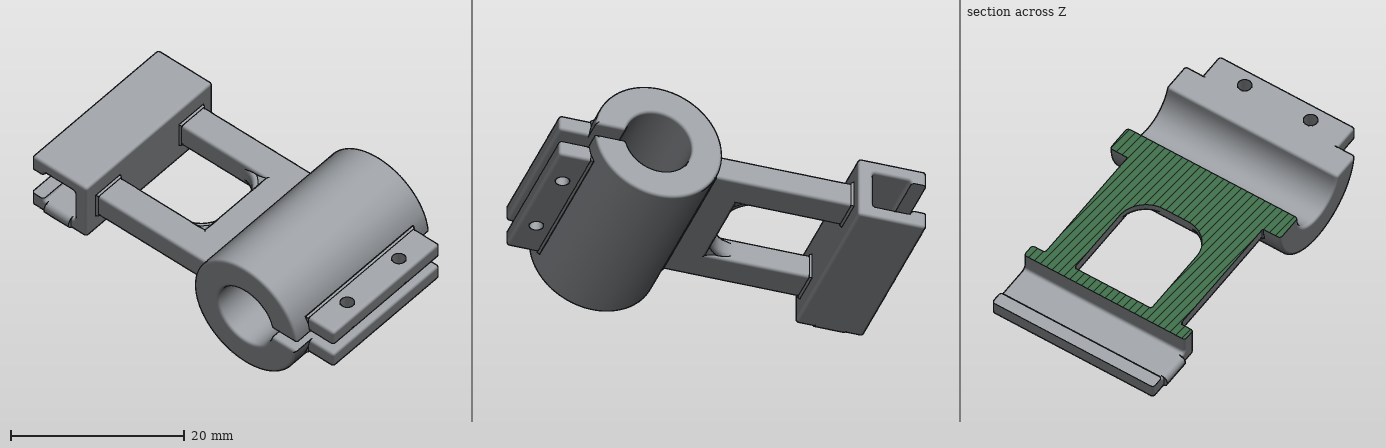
import cadquery as cq
import math

total_length = 44.25
edge_round = 0.4

tube_radius = 7.75
tube_length = 23.85
bore_radius = 4.07
slot_height = 1.5

flange_end_x = 11.35
flange_thickness = 2.1
flange_root_x = 5.75
bolt_hole_diameter = 1.7
bolt_hole_spacing = 9.2
bolt_hole_edge_distance = 2.05

clip_start_x = flange_end_x - total_length
clip_depth = 8.3
clip_height = 8.05
clip_length = 22.55
clip_end_x = clip_start_x + clip_depth
mouth_height = 4.0
lip_depth = 1.75
channel_height = 4.75
channel_back_wall = 1.75

tongue_offset = 2.2
tongue_width = 3.7
tongue_overhang = 0.45

arm_width = 18.95
arm_thickness = 3.2
window_width = 10.7
window_length = 12.95
window_corner_radius = 3.67
corner_wall_height = 1.35
corner_flare = 0.7

flare_length = 0.3
flare_growth = 0.15
flare_burial = 0.45

margin = 0.05


def box(x_min, x_max, width, z_min, z_max):
    """Box centred on Y between the given X and Z limits."""
    block = cq.Workplane("XY").box(x_max - x_min, width, z_max - z_min, centered=(False, True, False))
    return block.translate((x_min, 0, z_min))


def root_flare(root_x, direction, y_center, width, z_center, thickness, buried=0.0):
    """Tapered collar around a plate, wide at root_x and shrinking along X."""
    taper = math.degrees(math.atan2(flare_growth, flare_length))
    plane = cq.Plane(origin=(root_x, y_center, z_center), xDir=(0, 1, 0), normal=(direction, 0, 0))
    grown_width = width + 2 * flare_growth
    grown_thickness = thickness + 2 * flare_growth
    collar = cq.Workplane(plane).rect(grown_width, grown_thickness).extrude(flare_length, taper=taper)
    if buried:
        collar = collar.union(cq.Workplane(plane).rect(grown_width, grown_thickness).extrude(-buried))
    return collar


def make_tube():
    """Split tube with rounded end edges and rounded slot mouth in the bore."""
    tube = cq.Workplane("XZ").circle(tube_radius).circle(bore_radius).extrude(tube_length / 2, both=True)
    tube = tube.cut(box(0, tube_radius + margin, tube_length + margin, -slot_height / 2, slot_height / 2))
    slot_corner_x = math.sqrt(bore_radius**2 - (slot_height / 2) ** 2)
    corner_zone = cq.selectors.BoxSelector(
        (slot_corner_x - margin, -margin, -slot_height), (slot_corner_x + margin, margin, slot_height)
    )
    tube = tube.edges(corner_zone).fillet(edge_round)
    return tube.faces("<Y or >Y").edges().fillet(edge_round)


def make_flange():
    """Upper flange with its bolt holes and root flare."""
    z_min = slot_height / 2
    z_max = z_min + flange_thickness
    flange = box(flange_root_x, flange_end_x, arm_width, z_min, z_max).edges().fillet(edge_round)
    root_x = math.sqrt(tube_radius**2 - z_max**2)
    flare = root_flare(root_x, 1, 0, arm_width, (z_min + z_max) / 2, flange_thickness, buried=flare_burial)
    flare = flare.intersect(box(0, total_length, tube_length, z_min, tube_radius))
    hole_x = flange_end_x - bolt_hole_edge_distance
    holes = (
        cq.Workplane("XY")
        .pushPoints([(hole_x, -bolt_hole_spacing / 2), (hole_x, bolt_hole_spacing / 2)])
        .circle(bolt_hole_diameter / 2)
        .extrude(tube_radius)
    )
    return flange.union(flare).cut(holes)


def make_clip():
    """C-shaped rail clip with rounded channel corners and rims."""
    half_height = clip_height / 2
    clip = box(clip_start_x, clip_end_x, clip_length, -half_height, half_height).edges().fillet(edge_round)

    channel_start = clip_start_x + lip_depth
    channel_end = clip_end_x - channel_back_wall
    half_channel = channel_height / 2
    channel = box(channel_start, channel_end, clip_length, -half_channel, half_channel)
    channel = channel.edges("|Y").fillet(edge_round)
    half_mouth = mouth_height / 2
    mouth = box(clip_start_x - margin, channel_start + edge_round, clip_length, -half_mouth, half_mouth)
    clip = clip.cut(channel)
    channel_rims = cq.selectors.BoxSelector(
        (channel_start - margin, -clip_length, -half_channel - margin),
        (channel_end + margin, clip_length, half_channel + margin),
    )
    clip = clip.faces("<Y or >Y").edges(channel_rims).fillet(edge_round)
    return clip.cut(mouth)


def make_tongue():
    """Full-round strip of the channel floor that sticks out at the -Y end."""
    floor_thickness = (clip_height - channel_height) / 2
    start_x = clip_start_x + tongue_offset
    tip_y = -clip_length / 2 - tongue_overhang
    floor_z = -channel_height / 2
    bottom_z = -clip_height / 2
    round_start_y = tip_y + floor_thickness / 2
    return (
        cq.Workplane("YZ", origin=(start_x, 0, 0))
        .moveTo(tip_y + floor_thickness, bottom_z)
        .lineTo(round_start_y, bottom_z)
        .threePointArc((tip_y, (floor_z + bottom_z) / 2), (round_start_y, floor_z))
        .lineTo(tip_y + floor_thickness, floor_z)
        .close()
        .extrude(tongue_width)
    )


def make_corner_web(side):
    """Fill of one window corner: a round wall that flares out to the sharp corner at both faces."""
    half_thickness = arm_thickness / 2
    reach = window_corner_radius + edge_round
    axis_x = clip_end_x + window_length - window_corner_radius
    axis_y = side * (window_width / 2 - window_corner_radius)
    half_wall = corner_wall_height / 2
    flare_radius = window_corner_radius + corner_flare
    flare_z = half_thickness - edge_round
    corner_distance = reach * math.sqrt(2)
    upper_spool = (
        cq.Workplane("XZ")
        .lineTo(window_corner_radius, 0)
        .lineTo(window_corner_radius, half_wall)
        .tangentArcPoint((flare_radius, flare_z), relative=False)
        .lineTo(corner_distance, half_thickness)
        .lineTo(0, half_thickness)
        .close()
        .revolve(360, (0, 0, 0), (0, 1, 0))
    )
    spool = upper_spool.union(upper_spool.mirror("XY"))
    block = cq.Workplane("XY").box(reach, reach, arm_thickness, centered=(False, False, True))
    if side < 0:
        block = block.mirror("XZ")
    return block.cut(spool).translate((axis_x, axis_y, 0))


def make_arm():
    """Plate joining the clip and the tube, with its window and root flares."""
    half_thickness = arm_thickness / 2
    clip_overlap = channel_back_wall / 2
    tube_overlap_x = -(tube_radius + bore_radius) / 2
    window_end_x = clip_end_x + window_length
    arm = box(clip_end_x - clip_overlap, tube_overlap_x, arm_width, -half_thickness, half_thickness)
    arm = arm.edges("|X").fillet(edge_round)
    window = box(clip_end_x - 2 * clip_overlap, window_end_x, window_width, -half_thickness, half_thickness)
    arm = arm.cut(window)
    rims = cq.selectors.BoxSelector(
        (clip_end_x - 2 * clip_overlap, -window_width / 2 - margin, -half_thickness - margin),
        (window_end_x + margin, window_width / 2 + margin, half_thickness + margin),
    )
    arm = arm.faces("<Z or >Z").edges(rims).fillet(edge_round)
    for side in (-1, 1):
        arm = arm.union(make_corner_web(side))
    leg_width = (arm_width - window_width) / 2
    leg_y = (arm_width + window_width) / 4
    for y_center in (-leg_y, leg_y):
        arm = arm.union(root_flare(clip_end_x, 1, y_center, leg_width, 0, arm_thickness))
    tube_root_x = -math.sqrt(tube_radius**2 - half_thickness**2)
    return arm.union(root_flare(tube_root_x, -1, 0, arm_width, 0, arm_thickness, buried=flare_burial))


upper_flange = make_flange()
result = (
    make_tube()
    .union(upper_flange)
    .union(upper_flange.mirror("XY"))
    .union(make_arm())
    .union(make_clip())
    .union(make_tongue())
)